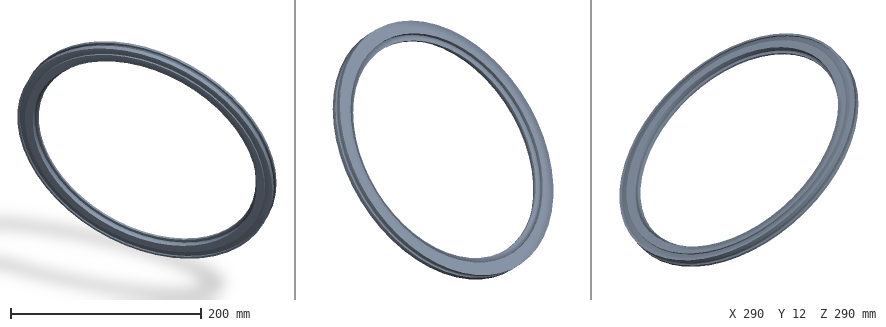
import cadquery as cq

outer_diameter = 290.0
width = 12.0
front_y = -width / 2
back_y = width / 2

back_flange = 2.5
front_flange = 4.5
groove_edge_diameter = 285.0
groove_floor_sag = 0.5

recess_inner_diameter = 272.3
recess_outer_diameter = 285.0
recess_depth = 1.7

counterbore_diameter = 254.5
counterbore_depth = 5.8
back_counterbore_diameter = 261.0
lip_thickness = 2.3
lip_diameter = 247.7


def annulus(outer, inner, start_y, length):
    """Ring of rectangular section, extending from start_y toward +Y."""
    plane = cq.Workplane("XZ", origin=(0, start_y, 0))
    return plane.circle(outer / 2).circle(inner / 2).extrude(-length)


def rim_groove():
    """Revolved cutter for the groove around the rim."""
    groove_front = front_y + front_flange
    groove_back = back_y - back_flange
    groove_middle = (groove_front + groove_back) / 2
    edge_radius = groove_edge_diameter / 2
    clear_radius = outer_diameter / 2 + 3
    section = (
        cq.Workplane("XY")
        .moveTo(clear_radius, groove_front)
        .lineTo(edge_radius, groove_front)
        .threePointArc((edge_radius - groove_floor_sag, groove_middle), (edge_radius, groove_back))
        .lineTo(clear_radius, groove_back)
        .close()
    )
    return section.revolve(360, (0, 0, 0), (0, 1, 0))


bore_cutter_inner = lip_diameter - 3
ring = annulus(outer_diameter, lip_diameter, front_y, width)
counterbore = annulus(counterbore_diameter, bore_cutter_inner, front_y, counterbore_depth)
lip_back = front_y + counterbore_depth + lip_thickness
back_counterbore = annulus(back_counterbore_diameter, bore_cutter_inner, lip_back, back_y - lip_back)
face_recess = annulus(recess_outer_diameter, recess_inner_diameter, front_y, recess_depth)

result = ring.cut(counterbore).cut(back_counterbore).cut(face_recess).cut(rim_groove())